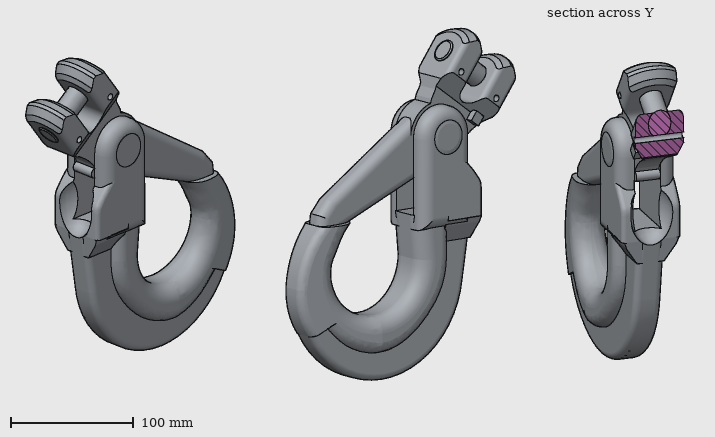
import cadquery as cq

oversize = 278.8

rim_center_y, rim_center_z = 56.3, -112.0
rim_radius = 85.3
mouth_center_y, mouth_center_z = 64.5, -101.2
mouth_radius = 41.5
tip_z = -62.0
tip_inner_y, tip_outer_y = 87.2, 120.0
back_y = -35.7
bowl_half_width = 21.0
rim_half_width = 11.7
rim_root_depth = 16.7
groove_end = (129.3, -152.5)
rim_edge_radius = 5.5
taper_slope = 0.117
mouth_edge_radius = 13.5
tip_edge_radius = 7.0
groove_edge_radius = 9.8

ear_radius = 25.0
ear_half_width = 25.5
ear_edge_radius = 10.3
bulge_edge_radius = 3.5
ear_bottom_z = -76.0
bulge_bottom_z = -69.7
bulge_z = -46.5
shoulder_half_width, shoulder_top_z = 21.5, -75.3
shoulder_z = -89.8
slot_half_width = 11.3
slot_floor_z = -63.8
scoop_z = -47.5
scoop_half_width = 18.0
scoop_half_height = 26.5

lever_half_width = 10.3
hub_radius = 27.3
lever_top_edge_radius = 7.8
lever_bottom_edge_radius = 6.7
lug_radius = 4.2
lug_y, lug_z = -23.7, -17.5
nub_size = 9.2
nub_half_width = 16.7
nub_across, nub_along = -24.0, 29.5

clevis_tilt = 36.5
clevis_center = -5.3
fork_half_width = 33.0
fork_gap = 20.5
clevis_half_width = bowl_half_width
fork_tip = 87.5
tip_crown_radius = 34.8
fork_bottom = 34.3
taper_low, taper_high = 31.8, 46.8
arm_shoulder = 38.2
arm_edge_radius = 4.7
arm_edge_top = 79.0
arm_bevel_offset, arm_bevel_height = 8.0, 83.3
arm_top_flat = 1.7

pivot_pin_radius = 14.2
pivot_pin_head = 0.5
pivot_pin_bevel = 3.0
load_pin_radius = 9.5
load_pin_height = 62.0
load_pin_stand_out = 0.8
load_pin_bevel = 1.5
lock_hole_radius = 2.65
lock_hole_height = 51.3
lock_hole_spacing = 45.0


def plate(outline, half_width):
    """Extrude a YZ outline equally to both sides of x = 0."""
    return outline.extrude(half_width, both=True)


def window(y_min, y_max, z_min, z_max):
    """Select edges whose centres lie in a YZ window, at any X."""
    return cq.selectors.BoxSelector((-oversize, y_min, z_min), (oversize, y_max, z_max))


def box(x_size, y_size, z_size, center):
    return cq.Workplane("XY").box(x_size, y_size, z_size).translate(center)


def cylinder_x(radius, y=0.0, z=0.0, half_length=oversize):
    return plate(cq.Workplane("YZ").center(y, z).circle(radius), half_length)


def bowl_body():
    """Thick inner part of the hook, tapered towards the tip."""
    rim_left = (rim_center_y + rim_radius, rim_center_z)
    outline = (
        cq.Workplane("YZ")
        .moveTo(tip_inner_y, tip_z)
        .spline(
            [(94.2, -71.5), (101.5, -86.5), (mouth_center_y + mouth_radius, mouth_center_z)],
            tangents=[(0.6, -0.8), (0, -1)],
            includeCurrent=True,
        )
        .threePointArc(
            (mouth_center_y, mouth_center_z - mouth_radius),
            (mouth_center_y - mouth_radius, mouth_center_z),
        )
        .lineTo(26.2, slot_floor_z)
        .lineTo(-6.5, slot_floor_z)
        .lineTo(-6.5, -100.4)
        .spline(
            [(8.5, -142.2), (33.5, -164.5), (64.5, -173.0), (92.5, -165.3), (117.0, -146.5)],
            tangents=[(0, -1), (0.75, 0.66)],
            includeCurrent=True,
        )
        .lineTo(*groove_end)
        .threePointArc((138.3, -135.8), rim_left)
        .threePointArc((135.0, -85.0), (tip_outer_y, tip_z))
        .close()
    )
    taper_end_y = rim_left[0] + 2.8
    taper_end = bowl_half_width - taper_slope * (taper_end_y - mouth_center_y)
    width_envelope = (
        cq.Workplane("XY")
        .moveTo(-bowl_half_width, back_y)
        .lineTo(bowl_half_width, back_y)
        .lineTo(bowl_half_width, mouth_center_y)
        .lineTo(taper_end, taper_end_y)
        .lineTo(-taper_end, taper_end_y)
        .lineTo(-bowl_half_width, mouth_center_y)
        .close()
        .extrude(-oversize)
    )
    return plate(outline, oversize).intersect(width_envelope)


def rim_plate():
    """Thin flange around the back and bottom of the hook, rooted inside the bowl body."""
    root_radius = mouth_radius + rim_root_depth
    outline = (
        cq.Workplane("YZ")
        .moveTo(mouth_center_y - root_radius, slot_floor_z)
        .lineTo(back_y, slot_floor_z)
        .lineTo(back_y, -72.5)
        .lineTo(-27.5, -123.8)
        .threePointArc((rim_center_y, rim_center_z - rim_radius), groove_end)
        .lineTo(mouth_center_y + root_radius, mouth_center_z)
        .threePointArc(
            (mouth_center_y, mouth_center_z - root_radius),
            (mouth_center_y - root_radius, mouth_center_z),
        )
        .close()
    )
    return plate(outline, rim_half_width)


def rounded_bowl():
    """Bowl body with rounded groove, mouth and tip edges."""
    mouth_edges = window(19.5, 104.0, -145, -75.3) - window(26.5, 55.8, -83.5, -55.8)
    groove_edges = window(14, 23.7, -150.5, -142.2) + window(89.2, 94.8, -167.2, -160.3)
    tip_edges = window(122.6, 139.5, -139.5, -69.7)
    body = bowl_body().edges(mouth_edges).edges("not(|X)").fillet(mouth_edge_radius)
    body = body.edges(groove_edges).edges("not(|X)").fillet(groove_edge_radius)
    return body.edges(tip_edges).edges("not(|X)").fillet(tip_edge_radius)


def rounded_rim():
    outer_edges = window(14, 83.5, -223, -153.3) + window(-34.8, -25, -111.5, -78)
    return rim_plate().edges(outer_edges).edges("not(|X)").fillet(rim_edge_radius)


def ear_arch():
    """Round-topped block that the slot splits into two ears."""
    outline = (
        cq.Workplane("YZ")
        .moveTo(ear_radius, ear_bottom_z)
        .lineTo(ear_radius, 0)
        .threePointArc((0, ear_radius), (-ear_radius, 0))
        .lineTo(-ear_radius, ear_bottom_z)
        .close()
    )
    return plate(outline, ear_half_width).faces("<X or >X").edges().fillet(ear_edge_radius)


def ear_bulge():
    """Rear bulge that carries the ears out to the back of the hook."""
    outline = (
        cq.Workplane("YZ")
        .moveTo(0, bulge_bottom_z)
        .lineTo(0, -14.0)
        .lineTo(-15.3, -14.0)
        .spline(
            [(-19.5, -22.3), (-27.3, -30.7), (-33.0, -38.0), (back_y, bulge_z)],
            tangents=[(0, -1), (0, -1)],
            includeCurrent=True,
        )
        .lineTo(back_y, bulge_bottom_z)
        .close()
    )
    bulge = plate(outline, ear_half_width)
    rear_edges = window(back_y - 2.8, -15.5, bulge_bottom_z + 0.3, -15.3)
    return bulge.faces("<X or >X").edges(rear_edges).fillet(bulge_edge_radius)


def shoulder():
    """Sloping underside that brings the rear bulge in to the flange."""
    bulge_floor = ear_half_width - bulge_edge_radius / 2
    front = (
        cq.Workplane("XZ")
        .moveTo(-bulge_floor, bulge_bottom_z)
        .lineTo(bulge_floor, bulge_bottom_z)
        .lineTo(shoulder_half_width, shoulder_top_z)
        .lineTo(rim_half_width, shoulder_z)
        .lineTo(-rim_half_width, shoulder_z)
        .lineTo(-shoulder_half_width, shoulder_top_z)
        .close()
        .extrude(oversize, both=True)
    )
    side = (
        cq.Workplane("YZ")
        .moveTo(0, bulge_bottom_z)
        .lineTo(back_y, bulge_bottom_z)
        .lineTo(back_y + 2.8, shoulder_z)
        .lineTo(0, shoulder_z)
        .close()
    )
    return plate(side, ear_half_width).intersect(front)


def rear_scoop():
    """Ellipsoidal hollow that opens the slot in the rear face."""
    half_ellipse = (
        cq.Workplane("XZ")
        .moveTo(0, -scoop_half_height)
        .ellipseArc(scoop_half_width, scoop_half_height, 270, 90, startAtCurrent=True)
        .close()
    )
    return half_ellipse.revolve(360, (0, 0), (0, 1)).translate((0, back_y, scoop_z))


def hook_slot():
    """Slot for the lever, open at the top and through both ends of the ears."""
    height = 2 * ear_radius - slot_floor_z
    depth = 4 * ear_radius
    return box(2 * slot_half_width, depth, height, (0, 0, slot_floor_z + height / 2))


def make_hook():
    bowl = rounded_rim().union(rounded_bowl())
    ears = ear_arch().union(ear_bulge()).union(shoulder())
    return bowl.union(ears).cut(rear_scoop()).cut(hook_slot()).cut(cylinder_x(pivot_pin_radius))



def tilt(body):
    return body.rotate((0, 0, 0), (1, 0, 0), clevis_tilt)


def lever_arm():
    outline = (
        cq.Workplane("YZ")
        .moveTo(tip_inner_y, tip_z)
        .lineTo(tip_outer_y - 0.3, tip_z)
        .lineTo(118.5, -53.2)
        .lineTo(108.5, -41.5)
        .lineTo(14.5, 20.5)
        .lineTo(0, -26.2)
        .close()
    )
    top_edges = window(55.8, 120, -60.0, 0)
    bottom_edges = window(39, 50.2, -47.5, -39)
    arm = plate(outline, lever_half_width)
    arm = arm.faces("<X or >X").edges(top_edges).edges("not(|X)").fillet(lever_top_edge_radius)
    return arm.faces("<X or >X").edges(bottom_edges).fillet(lever_bottom_edge_radius)


def arm_dome(side):
    """Bevelled profile of one arm tip, turned about an axis along the fork to crown it."""
    half = (fork_half_width - fork_gap / 2) / 2
    center = clevis_center + side * (fork_half_width - half)
    axis_height = fork_tip - tip_crown_radius
    return (
        cq.Workplane("YZ")
        .moveTo(center + half, axis_height)
        .lineTo(center + half, arm_edge_top)
        .lineTo(center + arm_bevel_offset, arm_bevel_height)
        .lineTo(center + arm_top_flat, fork_tip)
        .lineTo(center - arm_top_flat, fork_tip)
        .lineTo(center - arm_bevel_offset, arm_bevel_height)
        .lineTo(center - half, arm_edge_top)
        .lineTo(center - half, axis_height)
        .close()
        .revolve(360, (0, axis_height), (1, axis_height))
    )


def crown_envelope():
    """Both arm domes, standing on a block that clears the rest of the clevis."""
    axis_height = fork_tip - tip_crown_radius
    envelope = box(oversize, oversize, oversize, (0, 0, axis_height - oversize / 2))
    for side in (-1, 1):
        envelope = envelope.union(arm_dome(side))
    return envelope


def clevis_outline():
    """Outline of the upright clevis across the fork, before the gap is cut."""
    left = clevis_center + fork_half_width
    right = clevis_center - fork_half_width
    outline = (
        cq.Workplane("YZ")
        .moveTo(14, 0)
        .lineTo(22.5, 20.5)
        .lineTo(23.7, 29.0)
        .lineTo(left, arm_shoulder)
        .lineTo(left, fork_tip)
        .lineTo(right, fork_tip)
        .lineTo(right, arm_shoulder)
        .lineTo(-35.0, 31.8)
        .spline([(-28.5, 18.5), (-26.5, 2.8)], includeCurrent=True)
        .close()
    )
    return plate(outline, clevis_half_width)


def clevis_width():
    """Envelope of the clevis seen along the load pin: slim neck, wide arms."""
    return (
        cq.Workplane("XZ")
        .moveTo(-lever_half_width, -14)
        .lineTo(-lever_half_width, taper_low)
        .lineTo(-clevis_half_width, taper_high)
        .lineTo(-clevis_half_width, fork_tip)
        .lineTo(clevis_half_width, fork_tip)
        .lineTo(clevis_half_width, taper_high)
        .lineTo(lever_half_width, taper_low)
        .lineTo(lever_half_width, -14)
        .close()
        .extrude(oversize, both=True)
    )


def fork_cut():
    """Gap between the arms, round at the bottom."""
    half = fork_gap / 2
    return plate(
        cq.Workplane("YZ")
        .moveTo(clevis_center - half, oversize)
        .lineTo(clevis_center - half, fork_bottom + half)
        .threePointArc((clevis_center, fork_bottom), (clevis_center + half, fork_bottom + half))
        .lineTo(clevis_center + half, oversize)
        .close(),
        oversize,
    )


def make_clevis():
    blank = clevis_outline().cut(fork_cut())
    arm_edges = window(-fork_tip, fork_tip, fork_bottom, arm_edge_top)
    blank = blank.faces("<X or >X").edges(arm_edges).edges("|Z or %CIRCLE").fillet(arm_edge_radius)
    return blank.intersect(clevis_width()).intersect(crown_envelope())


def make_lever():
    hub = cylinder_x(hub_radius, half_length=lever_half_width)
    lug = cylinder_x(lug_radius, lug_y, lug_z, lever_half_width)
    nub = box(nub_half_width, nub_size, nub_size, (-nub_half_width / 2, nub_across, nub_along))
    clevis = make_clevis().union(nub).cut(load_pin_shape(0)).cut(lock_holes())
    lever = hub.union(lug).union(lever_arm()).union(tilt(clevis))
    return lever.cut(cylinder_x(pivot_pin_radius))



def load_pin_shape(stand_out):
    length = 2 * (fork_half_width + stand_out)
    return (
        cq.Workplane("XZ")
        .circle(load_pin_radius)
        .extrude(length / 2, both=True)
        .translate((0, clevis_center, load_pin_height))
    )


def lock_holes():
    """Cross holes below the load pin for its locking pins."""
    half = lock_hole_spacing / 2
    left = cylinder_x(lock_hole_radius, clevis_center - half, lock_hole_height)
    return left.union(cylinder_x(lock_hole_radius, clevis_center + half, lock_hole_height))


def make_load_pin():
    pin = load_pin_shape(load_pin_stand_out).faces("<Y or >Y").chamfer(load_pin_bevel)
    return tilt(pin.cut(lock_holes()))


def make_pivot_pin():
    length = 2 * ear_half_width + pivot_pin_head
    pin = cq.Workplane("YZ").circle(pivot_pin_radius).extrude(length)
    pin = pin.faces("<X").chamfer(pivot_pin_head, pivot_pin_bevel)
    return pin.translate((-ear_half_width - pivot_pin_head, 0, 0))


hook = make_hook()
lever = make_lever()
pivot_pin = make_pivot_pin()
load_pin = make_load_pin()

result = cq.Compound.makeCompound([hook.val(), lever.val(), pivot_pin.val(), load_pin.val()])